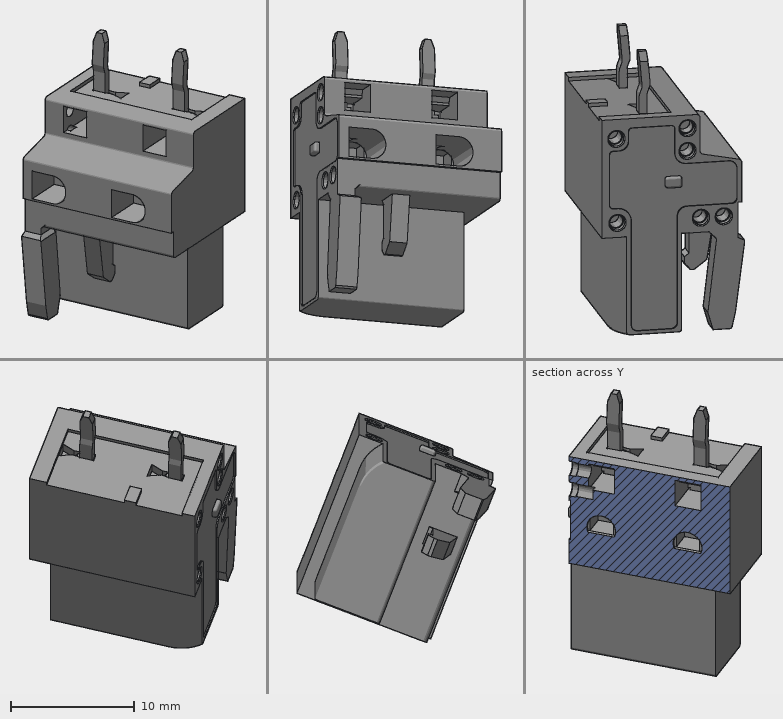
import cadquery as cq
import math


body_width = 14.0
body_bottom = 8.3
body_top = 18.3
upper_front = -8.15
middle_front = -11.62
lower_front = -11.3
lip_height = 10.65
slope_front_height = 14.24
slope_rear_height = 14.95
edge_round = 0.3

foot_width = 12.55
foot_front = -6.62
foot_edge_round = 0.23
foot_rear = -1.02
foot_corner = -2.05
foot_rear_radius = 3.57

pole_pitch = 7.5
first_pole = 2.8
pole_centers = [first_pole, first_pole + pole_pitch]

panel_depth = 0.3
panel_left = 1.09
panel_front = -5.97
panel_floor = body_top - panel_depth
tab_left = 4.98
tab_width = 1.0
tab_length = 1.57

pin_width = 1.06
outer_bend_radius = 0.79
inner_bend_radius = 0.46
pin_tip_width = 0.5
pin_rear = -3.59
pin_front = -4.25
pin_top = 23.15
pin_taper_start = 22.36
pin_bend_start = 19.6
pin_bend_end = 20.3
pin_bend_offset = 0.25
pin_root = body_top - 1.85

window_left = -1.06
window_right = 1.13
window_bottom = 15.58
window_top = 17.9
window_wall = -6.11
window_roof_slope = 0.45
window_roof_run = 0.2
window_lintel = 17.25
contact_relief = 0.32
contact_shoulder = 16.88
contact_right = 0.88
contact_notch = 0.19

entry_height = 12.04
entry_radius = 1.23
entry_left = -1.95
entry_pocket_depth = 3.47
funnel_depth = 1.15
funnel_floor = 11.67
clamp_half_width = 1.02
clamp_depth = 1.85

recess_depth = 0.12
socket_mouth_radius = 0.72
socket_collar_radius = 0.63
socket_collar_depth = 0.6
socket_radius = 0.55
socket_chamfer = socket_mouth_radius - socket_collar_radius
socket_depth = 2.08
socket_row_height = 9.54
socket_centers = [
    (-1.2, 16.65),
    (-7.1, 17.18),
    (-7.1, 15.25),
    (-1.3, socket_row_height),
    (-8.22, socket_row_height),
    (-10.12, socket_row_height),
]
nub_height = 0.3
nub_length = 1.37
nub_width = 0.93
nub_round = 0.2
nub_center = (-5.95, 12.7)

latch_width = 1.83
latch_neck_width = 1.5
latch_flare_width = 1.9
latch_shoulder = 7.66
latch_front = -11.85
latch_neck_rear = -8.9
hook_left = 5.0
hook_width = 1.5


def rounded_wire(corners):
    """Closed YZ outline from (y, z, corner radius) entries."""
    trims = []
    count = len(corners)
    for i, (y, z, radius) in enumerate(corners):
        before = corners[i - 1]
        after = corners[(i + 1) % count]
        angle_in = math.atan2(before[1] - z, before[0] - y)
        angle_out = math.atan2(after[1] - z, after[0] - y)
        bisector = (math.cos(angle_in) + math.cos(angle_out), math.sin(angle_in) + math.sin(angle_out))
        span = math.hypot(*bisector)
        half = math.acos(span / 2)
        setback = radius / math.tan(half)
        gap = radius / math.sin(half) - radius
        start = (y + setback * math.cos(angle_in), z + setback * math.sin(angle_in))
        end = (y + setback * math.cos(angle_out), z + setback * math.sin(angle_out))
        middle = (y + gap * bisector[0] / span, z + gap * bisector[1] / span)
        trims.append((start, middle, end, radius))
    wire = cq.Workplane("YZ").moveTo(*trims[0][2])
    for start, middle, end, radius in trims[1:] + trims[:1]:
        wire = wire.lineTo(*start)
        if radius:
            wire = wire.threePointArc(middle, end)
    return wire.close()


def block(x_range, y_range, z_range):
    """Axis-aligned box between the given limits."""
    size = [max(limits) - min(limits) for limits in (x_range, y_range, z_range)]
    corner = (min(x_range), min(y_range), min(z_range))
    return cq.Workplane("XY").box(*size, centered=False).translate(corner)


def make_body():
    """Stepped housing profile carried across the full width."""
    outline = [
        (0, body_bottom, 0),
        (0, body_top, 0),
        (upper_front, body_top, edge_round),
        (upper_front, slope_rear_height, edge_round),
        (middle_front, slope_front_height, edge_round),
        (middle_front, lip_height, 0),
        (lower_front, lip_height, 0),
        (lower_front, body_bottom, edge_round),
    ]
    return rounded_wire(outline).extrude(body_width)


def make_foot():
    """Rectangular plug whose rear left corner is a shallow arc tangent to the rear face."""
    radius = foot_rear_radius
    arc_center_y = foot_rear - radius
    sweep = math.acos((foot_corner - arc_center_y) / radius)
    arc_end = radius * math.sin(sweep)
    arc_middle = (
        arc_end - radius * math.sin(sweep / 2),
        arc_center_y + radius * math.cos(sweep / 2),
    )
    outline = cq.Workplane("XY").moveTo(0, foot_front).lineTo(0, foot_corner)
    outline = outline.threePointArc(arc_middle, (arc_end, foot_rear))
    outline = outline.lineTo(foot_width, foot_rear).lineTo(foot_width, foot_front).close()
    foot = outline.extrude(body_bottom)
    return foot.edges("<Z and |X").fillet(foot_edge_round)


def make_latch():
    """Leaning release arm: its side outline trimmed by its front outline."""
    side = [
        (lower_front, lip_height),
        (lower_front, latch_shoulder),
        (latch_front, 7.4),
        (latch_front, 7.25),
        (-11.1, 1.37),
        (-10.8, 0.16),
        (-10.7, 0),
        (-9.24, 0),
        (-8.8, 1.48),
        (-9.51, latch_shoulder),
        (latch_neck_rear, body_bottom),
        (latch_neck_rear, lip_height),
    ]
    flare = latch_width - latch_neck_width
    root_flare = latch_flare_width - latch_neck_width
    root = body_bottom + edge_round
    face = [
        (0, 0),
        (latch_width, 0),
        (latch_width, latch_shoulder - flare),
        (latch_neck_width, latch_shoulder),
        (latch_neck_width, root - root_flare),
        (latch_flare_width, root),
        (latch_flare_width, lip_height),
        (0, lip_height),
    ]
    arm = cq.Workplane("YZ").polyline(side).close().extrude(latch_flare_width)
    front = cq.Workplane("XZ").polyline(face).close().extrude(-latch_front)
    return arm.intersect(front)


def make_hook():
    """Inner locking arm with a nose towards the foot."""
    side = [
        (-8.03, body_bottom),
        (-8.33, 7.92),
        (-8.33, 5.1),
        (-7.95, 4.82),
        (-7.95, 4.21),
        (-8.45, 3.68),
        (-8.75, 3.68),
        (-9.82, 4.47),
        (-10.46, body_bottom),
    ]
    hook = cq.Workplane("YZ").polyline(side).close().extrude(hook_width)
    return hook.translate((hook_left, 0, 0))


def make_pin(center):
    """Flat solder pin with a double bend and a tapered tip."""
    bend = pin_bend_offset
    bend_shift = 0.1
    side = [
        (pin_rear, pin_root, 0),
        (pin_rear, pin_bend_start - bend_shift, outer_bend_radius),
        (pin_rear - bend, pin_bend_end - bend_shift, inner_bend_radius),
        (pin_rear, pin_top, 0),
        (pin_front, pin_top, 0),
        (pin_front - bend, pin_bend_end + bend_shift, outer_bend_radius),
        (pin_front, pin_bend_start + bend_shift, inner_bend_radius),
        (pin_front, pin_root, 0),
    ]
    half = pin_width / 2
    half_tip = pin_tip_width / 2
    face = [
        (-half, pin_root),
        (-half, pin_taper_start),
        (-half_tip, pin_top),
        (half_tip, pin_top),
        (half, pin_taper_start),
        (half, pin_root),
    ]
    strip = rounded_wire(side).extrude(pin_width).translate((-half, 0, 0))
    front = cq.Workplane("XZ").polyline(face).close().extrude(-middle_front)
    return strip.intersect(front).translate((center, 0, 0))


def make_panel_cut():
    """Shallow panel open to the rear and interrupted by one tab."""
    panel = block((panel_left, foot_width), (panel_front, 0), (panel_floor, body_top))
    tab = block((tab_left, tab_left + tab_width), (-tab_length, 0), (panel_floor, body_top))
    return panel.cut(tab)


def make_pin_slot(center):
    """Bow-tie opening beside the pin, with a ramp at its waist down to the wide end.

    Lengths along X are measured from the pole center, depths from the panel floor.
    """
    slot_start = -0.63
    waist_left = 0.83
    waist_right = 1.2
    slot_end = 2.22
    half_wide = 0.65
    half_waist = 0.23
    half_pin = 0.32
    shallow = 0.23
    deep = 0.83
    edge = [
        (slot_start, half_pin),
        (pin_width / 2, half_pin),
        (waist_left, half_waist),
        (waist_right, half_waist),
        (slot_end, half_wide),
    ]
    outline = edge + [(x, -y) for x, y in reversed(edge)]
    profile = [
        (slot_start, 0),
        (slot_start, -shallow),
        (waist_left, -shallow),
        (waist_right, -deep),
        (slot_end, -deep),
        (slot_end, 0),
    ]
    slot = cq.Workplane("XY").polyline(outline).close().extrude(-deep)
    floor = cq.Workplane("XZ").polyline(profile).close().extrude(half_wide, both=True)
    return slot.intersect(floor).translate((center, (pin_rear + pin_front) / 2, panel_floor))


def make_window_cut(center):
    """Test window with a contact plate standing out at its rear."""
    left = window_left
    right = window_right
    side = [
        (upper_front, window_bottom),
        (upper_front, window_top),
        (window_wall - window_roof_run, window_top),
        (window_wall, window_top - window_roof_slope),
        (window_wall, window_lintel),
        (pin_front, window_lintel),
        (pin_front, window_bottom),
    ]
    cut = cq.Workplane("YZ").polyline(side).close().extrude(right - left)
    cut = cut.translate((left, 0, 0))
    relief = (pin_front, pin_front + contact_relief)
    shoulder = (contact_shoulder, window_lintel)
    side_gap = (window_bottom, window_lintel)
    notch = (window_bottom, window_bottom + contact_notch)
    cut = cut.union(block((left, -pin_width / 2), relief, shoulder))
    cut = cut.union(block((pin_width / 2, right), relief, shoulder))
    cut = cut.union(block((contact_right, right), relief, side_gap))
    cut = cut.union(block((left, left + contact_notch), relief, notch))
    return cut.translate((center, 0, 0))


def make_wire_entry_cut(center):
    """Round bore, square on its left, that slopes up into the clamp chamber."""
    low = entry_height - entry_radius
    high = entry_height + entry_radius
    pocket_end = middle_front + entry_pocket_depth
    funnel_end = pocket_end + funnel_depth
    side = [
        (middle_front, low),
        (middle_front, high),
        (funnel_end, high),
        (funnel_end, funnel_floor),
        (pocket_end, low),
    ]
    ramp = cq.Workplane("YZ").polyline(side).close().extrude(entry_radius, both=True)
    bore = cq.Workplane("XZ", origin=(0, funnel_end, 0)).center(0, entry_height)
    bore = bore.circle(entry_radius).extrude(funnel_end - middle_front)
    pocket = block((entry_left, 0), (middle_front, pocket_end), (low, high))
    clamp_side = (-clamp_half_width, clamp_half_width)
    clamp_reach = (funnel_end, funnel_end + clamp_depth)
    clamp = block(clamp_side, clamp_reach, (funnel_floor, high))
    return ramp.intersect(bore).union(pocket).union(clamp).translate((center, 0, 0))


def make_left_recess():
    """Shallow cross-shaped recess that stays clear of the sockets."""
    margin = 0.3
    small_round = 0.3
    foot_round = 0.5
    rear = -0.65
    upper_rear = -2.22
    foot_rear_side = -2.45
    upper_front_side = -6.07
    foot_front_side = foot_front + 0.35
    front = middle_front + 0.4
    top = 17.48
    rear_top = 15.6
    front_top = 14.2
    rear_bottom = 10.75
    front_bottom = 10.58
    outline = [
        (upper_rear, top, small_round),
        (upper_rear, rear_top, 0.79),
        (rear, rear_top, small_round),
        (rear, rear_bottom, small_round),
        (foot_rear_side, rear_bottom, 1.15),
        (foot_rear_side, margin, foot_round),
        (foot_front_side, margin, foot_round),
        (foot_front_side, front_bottom, 0.79),
        (front, front_bottom, 0.46),
        (front, front_top, 0.7),
        (upper_front_side, front_top, 0.93),
        (upper_front_side, top, small_round),
    ]
    return rounded_wire(outline).extrude(recess_depth)


def make_sockets():
    """Blind holes with a chamfered mouth and a slightly wider collar."""
    face = cq.Workplane("YZ").pushPoints(socket_centers)
    collars = face.circle(socket_collar_radius).extrude(socket_collar_depth)
    bores = face.circle(socket_radius).extrude(socket_depth)
    mouths = face.circle(socket_mouth_radius).extrude(socket_chamfer, taper=45)
    return bores.union(collars).union(mouths)


def make_nub():
    """Small rounded boss on the left face."""
    base = cq.Workplane("YZ", origin=(recess_depth, 0, 0)).center(*nub_center)
    nub = base.rect(nub_length, nub_width).extrude(-nub_height - recess_depth)
    return nub.edges("|X or <X").fillet(nub_round)


result = make_body().union(make_foot()).union(make_latch()).union(make_hook())
result = result.cut(make_panel_cut())
for pole in pole_centers:
    result = result.cut(make_pin_slot(pole))
    result = result.cut(make_window_cut(pole))
    result = result.cut(make_wire_entry_cut(pole))
    result = result.union(make_pin(pole))
result = result.cut(make_left_recess()).cut(make_sockets())
result = result.union(make_nub())